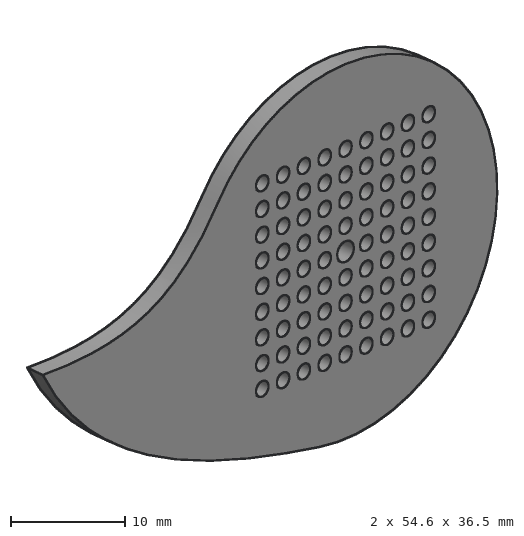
import cadquery as cq
import math

thickness = 2.0
head_radius = 18.25
tip = (-36.37, 0.2)

upper_blend_angle = 147.3
lower_blend_angle = 260.0

upper_head_handle = 9.4
lower_head_handle = 9.7
upper_tip_handle = 10.0
lower_tip_handle = 14.9

upper_tip_angle = -2.2
lower_tip_angle = -62.7

grid_count = 9
grid_pitch = 2.5
grid_hole_diameter = 1.5
centre_hole_diameter = 2.0


def polar_offset(start, length, angle):
    """Point at a distance and an angle in degrees from a start point."""
    turn = math.radians(angle)
    return (start[0] + length * math.cos(turn), start[1] + length * math.sin(turn))


def on_head(angle):
    """Point on the head circle at an angle in degrees."""
    return polar_offset((0, 0), head_radius, angle)


def make_plate():
    """Round head with a tail of two curves, each tangent to the head."""
    upper_blend = on_head(upper_blend_angle)
    lower_blend = on_head(lower_blend_angle)
    head_top_angle = 90
    quarter_turn = 90

    upper_curve = [
        polar_offset(upper_blend, upper_head_handle, upper_blend_angle + quarter_turn),
        polar_offset(tip, upper_tip_handle, upper_tip_angle),
        tip,
    ]
    lower_curve = [
        polar_offset(tip, lower_tip_handle, lower_tip_angle),
        polar_offset(lower_blend, lower_head_handle, lower_blend_angle - quarter_turn),
        lower_blend,
    ]
    return (
        cq.Workplane("YZ")
        .moveTo(*upper_blend)
        .bezier(upper_curve, includeCurrent=True)
        .bezier(lower_curve, includeCurrent=True)
        .threePointArc(on_head(0), on_head(head_top_angle))
        .threePointArc(on_head((head_top_angle + upper_blend_angle) / 2), upper_blend)
        .close()
        .extrude(thickness)
    )


def make_holes():
    """Cutters for the hole grid, including the larger centre hole."""
    grid = (
        cq.Workplane("YZ")
        .rarray(grid_pitch, grid_pitch, grid_count, grid_count)
        .circle(grid_hole_diameter / 2)
        .extrude(thickness)
    )
    centre = cq.Workplane("YZ").circle(centre_hole_diameter / 2).extrude(thickness)
    return grid.union(centre)


result = make_plate().cut(make_holes())